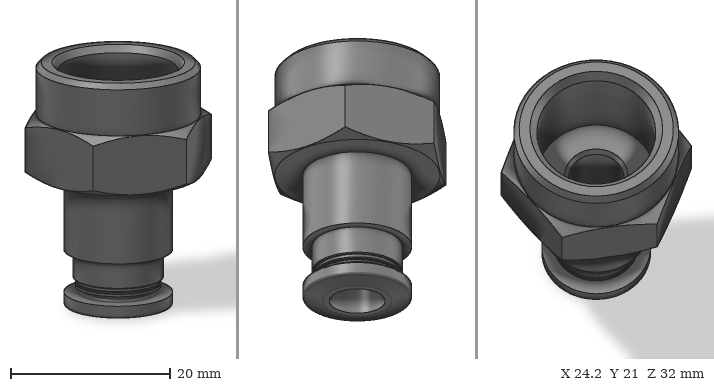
import cadquery as cq
import math

COLLAR_EDGE_Z = 0.45
COLLAR_TOP_Z = 2.05
NECK_TOP_Z = 2.88
GROOVE_BOTTOM_Z = 3.2
GROOVE_TOP_Z = 3.42
CARTRIDGE_BOTTOM_Z = 3.95
STEM_BOTTOM_Z = 7.6
HEX_BOTTOM_Z = 17.55
HEX_TOP_Z = 25.3
TOTAL_HEIGHT = 32.0

COLLAR_FACE_DIA = 8.7
COLLAR_DIA = 13.7
NECK_DIA = 9.4
RING_DIA = 10.8
GROOVE_DIA = 10.43
CARTRIDGE_DIA = 11.4
STEM_DIA = 13.7
HEAD_DIA = 20.75
HEX_FACE_DIA = 20.8
HEX_ACROSS_FLATS = 21.0

COLLAR_ROUND = 0.22
NECK_FLARE = 0.32
CARTRIDGE_CHAMFER = 0.13
RING_CHAMFER = 0.13
HEAD_CHAMFER = 0.67
HEX_CHAMFER_ANGLE = 30.0

SOCKET_DIA = 14.95
SOCKET_MOUTH_DIA = 16.67
SOCKET_DEPTH = 12.15
PASSAGE_DIA = 7.0
PASSAGE_MOUTH_DIA = 8.0


def make_turned_body():
    """Revolve the stepped outside profile around Z."""
    collar_r = COLLAR_DIA / 2
    neck_r = NECK_DIA / 2
    ring_r = RING_DIA / 2
    groove_r = GROOVE_DIA / 2
    cartridge_r = CARTRIDGE_DIA / 2
    stem_r = STEM_DIA / 2
    head_r = HEAD_DIA / 2
    flare_offset = NECK_FLARE * (1 - math.sqrt(0.5))
    round_offset = COLLAR_ROUND * (1 - math.sqrt(0.5))
    profile = (
        cq.Workplane("XZ")
        .lineTo(COLLAR_FACE_DIA / 2, 0)
        .lineTo(collar_r - COLLAR_ROUND, COLLAR_EDGE_Z)
        .threePointArc(
            (collar_r - round_offset, COLLAR_EDGE_Z + round_offset),
            (collar_r, COLLAR_EDGE_Z + COLLAR_ROUND),
        )
        .lineTo(collar_r, COLLAR_TOP_Z)
        .lineTo(neck_r + NECK_FLARE, COLLAR_TOP_Z)
        .threePointArc(
            (neck_r + flare_offset, COLLAR_TOP_Z + flare_offset),
            (neck_r, COLLAR_TOP_Z + NECK_FLARE),
        )
        .lineTo(neck_r, NECK_TOP_Z)
        .lineTo(ring_r, NECK_TOP_Z)
        .lineTo(ring_r, GROOVE_BOTTOM_Z)
        .lineTo(groove_r, GROOVE_BOTTOM_Z)
        .lineTo(groove_r, GROOVE_TOP_Z)
        .lineTo(ring_r - RING_CHAMFER, GROOVE_TOP_Z)
        .lineTo(ring_r, GROOVE_TOP_Z + RING_CHAMFER)
        .lineTo(ring_r, CARTRIDGE_BOTTOM_Z)
        .lineTo(cartridge_r - CARTRIDGE_CHAMFER, CARTRIDGE_BOTTOM_Z)
        .lineTo(cartridge_r, CARTRIDGE_BOTTOM_Z + CARTRIDGE_CHAMFER)
        .lineTo(cartridge_r, STEM_BOTTOM_Z)
        .lineTo(stem_r, STEM_BOTTOM_Z)
        .lineTo(stem_r, HEX_BOTTOM_Z)
        .lineTo(head_r, HEX_BOTTOM_Z)
        .lineTo(head_r, TOTAL_HEIGHT - HEAD_CHAMFER)
        .lineTo(head_r - HEAD_CHAMFER, TOTAL_HEIGHT)
        .lineTo(0, TOTAL_HEIGHT)
        .close()
    )
    return profile.revolve(360, (0, 0), (0, 1))


def make_hex():
    """Hexagon with corners on the X axis, chamfered conically at both ends."""
    across_corners = HEX_ACROSS_FLATS / math.cos(math.pi / 6)
    corner_r = across_corners / 2
    face_r = HEX_FACE_DIA / 2
    drop = (corner_r - face_r) * math.tan(math.radians(HEX_CHAMFER_ANGLE))
    prism = (
        cq.Workplane("XY", origin=(0, 0, HEX_BOTTOM_Z))
        .polygon(6, across_corners)
        .extrude(HEX_TOP_Z - HEX_BOTTOM_Z)
    )
    envelope = (
        cq.Workplane("XZ")
        .moveTo(0, HEX_BOTTOM_Z)
        .lineTo(face_r, HEX_BOTTOM_Z)
        .lineTo(corner_r, HEX_BOTTOM_Z + drop)
        .lineTo(corner_r, HEX_TOP_Z - drop)
        .lineTo(face_r, HEX_TOP_Z)
        .lineTo(0, HEX_TOP_Z)
        .close()
        .revolve(360, (0, 0), (0, 1))
    )
    return prism.intersect(envelope)


def make_bore():
    """Socket and passage, each with a 45 degree countersunk mouth."""
    socket_r = SOCKET_DIA / 2
    socket_mouth_r = SOCKET_MOUTH_DIA / 2
    passage_r = PASSAGE_DIA / 2
    passage_mouth_r = PASSAGE_MOUTH_DIA / 2
    floor_z = TOTAL_HEIGHT - SOCKET_DEPTH
    profile = (
        cq.Workplane("XZ")
        .lineTo(passage_r, 0)
        .lineTo(passage_r, floor_z - (passage_mouth_r - passage_r))
        .lineTo(passage_mouth_r, floor_z)
        .lineTo(socket_r, floor_z)
        .lineTo(socket_r, TOTAL_HEIGHT - (socket_mouth_r - socket_r))
        .lineTo(socket_mouth_r, TOTAL_HEIGHT)
        .lineTo(0, TOTAL_HEIGHT)
        .close()
    )
    return profile.revolve(360, (0, 0), (0, 1))


result = make_turned_body().union(make_hex()).cut(make_bore())